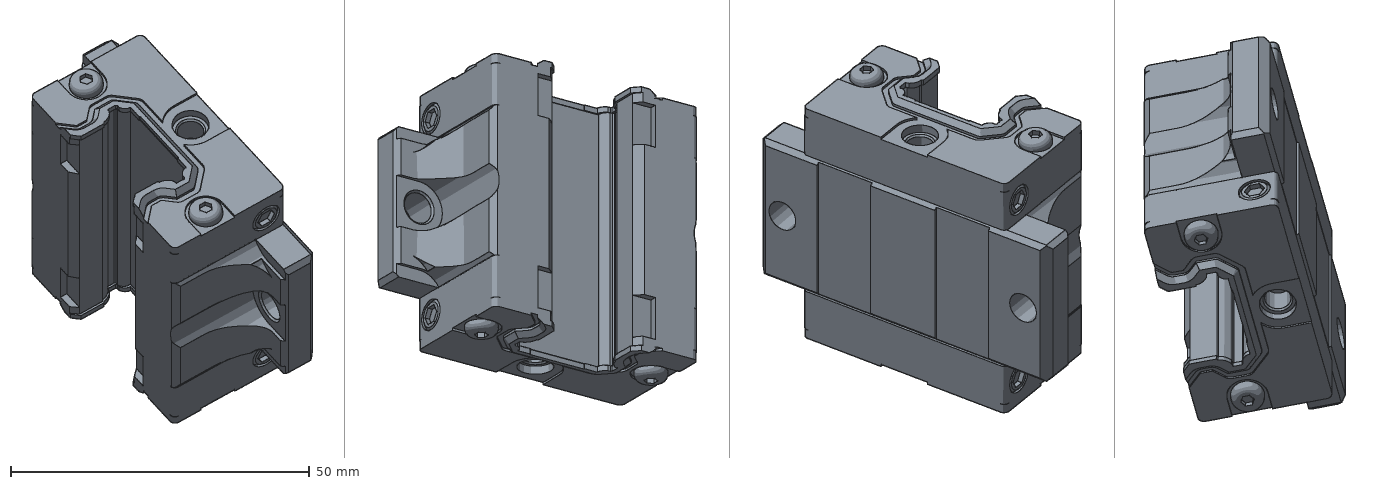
import cadquery as cq
import math


FLANGE_WIDTH = 59.0
BACK_Y = 23.5
TOTAL_LENGTH = 48.8

BLOCK_HALF_LENGTH = 13.75
BLOCK_HALF_WIDTH = 21.0
UNDERSIDE_Y = 16.4
FLANGE_BACK_CHAMFER = 1.6
FLANGE_FRONT_CHAMFER = 1.0
BLOCK_END_CHAMFER = 0.9
FOOT_CHAMFER_X = 0.95
FOOT_CHAMFER_Y = 1.2
BLOCK_LIP_CHAMFER = 1.55
FILLET_START_X = 26.0
FILLET_END = (23.35, 14.5)
FLANK_START_Y = 5.95
CLEARANCE_Y = 23.05
CENTER_PAD_HALF_WIDTH = 6.55
OUTER_PAD_X = 17.4

BOLT_X = 24.5
SEAT_Y = 17.0
SEAT_RADIUS = 4.7
END_SEAT_Z = 11.45
RELIEF_Z = 9.5
RELIEF_X = 23.1
RELIEF_MIDDLE = (24.55, 10.25)
RELIEF_OVERLAP = 0.2
BOLT_HOLE_DIAMETER = 5.4
BOLT_HOLE_CHAMFER = 0.35

CAP_HALF_WIDTH = 20.65
CAP_END_Z = 23.1
CAP_CORNER_RADIUS = 0.9
COVER_THICKNESS = 1.7
COVER_CORNER_RADIUS = 1.05
CAP_LIP_CHAMFER = 1.2
RETAINER_HALF_WIDTH = 11.85

THROAT_HALF_WIDTH = 8.15
ROOF_Y = 12.0
LIP_HEIGHT = 1.3
LIP_TOP_Y = 6.0
LIP_EDGE_RISE = 0.2
BULGE_STEP = 0.3
GROOVE_DEPTH = 2.1
GROOVE_BOTTOM_Y = 8.4
GROOVE_TOP_Y = 9.9
GROOVE_CHAMFER = 0.25
SEAL_GAP = 0.4
SEAL_ROOF_GAP = 0.3
SEAL_END_Z = 24.15
SEAL_BEVEL = 0.95
SEAL_LIP_CHAMFER = 1.3
SEAL_WAIST_RADIUS = 1.75
SEAL_SHOULDER_RADIUS = 1.05
SEAL_WAIST_X = 9.85
SEAL_SHOULDER_X = 11.8
SEAL_TOP_Y = 13.6
WAIST_MIDDLE_Y = 3.6
WAIST_REACH = 2.05
RECESS_CORNER_RADIUS = 1.5
RECESS_WAIST_X = 10.75
RECESS_SHOULDER_X = 13.0
RECESS_TOP_Y = 14.75
SEAL_NOTCH_HALF_WIDTH = 5.5
SEAL_NOTCH_DEPTH = 0.2
RECESS_DEPTH = 0.4

PORT_Y = 18.35
PORT_SEAT_RADIUS = 4.7
PORT_BORE_DIAMETER = 6.2
PORT_BORE_DEPTH = 1.5
PORT_MOUTH_DIAMETER = 5.0
PORT_DRILL_DIAMETER = 4.4
PORT_DRILL_DEPTH = 4.7

HEAD_X = 17.15
HEAD_Y = 9.15
HEAD_DIAMETER = 5.7
HEAD_EDGE_RADIUS = 1.25
HEAD_SEAT_RADIUS = 3.5
HEAD_HEX_FLATS = 2.0
HEAD_HEX_DEPTH = 0.9

PLUG_Y = 19.1
PLUG_Z = 17.95
PLUG_DIAMETER = 5.5
PLUG_FACE_DIAMETER = 4.4
PLUG_HEX_FLATS = 3.0
PLUG_HEX_DEPTH = 0.9


def mirrored(half_points):
    """Closed outline about X = 0 from points listed for its +X half."""
    return half_points + [(-x, y) for x, y in reversed(half_points)]


def prism(points, z_start, z_end):
    return cq.Workplane("XY").workplane(offset=z_start).polyline(points).close().extrude(z_end - z_start)


def box(x_range, y_range, z_range):
    sizes = [high - low for low, high in (x_range, y_range, z_range)]
    corner = (x_range[0], y_range[0], z_range[0])
    return cq.Workplane("XY").box(*sizes, centered=False).translate(corner)


def both_sides(shape):
    return shape.union(shape.mirror("YZ"))


def both_ends(shape):
    return shape.union(shape.mirror("XY"))


def hexagon(plane, flats, depth, first_corner):
    """Hexagonal prism with its first corner at the given angle in degrees, grown along the plane normal."""
    corner_radius = flats / math.sqrt(3)
    angles = [math.radians(first_corner + 60 * i) for i in range(6)]
    points = [(corner_radius * math.cos(a), corner_radius * math.sin(a)) for a in angles]
    return cq.Workplane(plane).polyline(points).close().extrude(depth)


def channel(throat, roof_y, foot_chamfer, z_start, z_end):
    """Rail opening, with a convex ball-track bulge above and below the clearance groove on each side."""
    step_x = throat + BULGE_STEP
    groove_x = throat + GROOVE_DEPTH
    half = (
        cq.Workplane("XY")
        .workplane(offset=z_start)
        .moveTo(0, 0)
        .lineTo(throat + foot_chamfer, 0)
        .lineTo(throat, LIP_HEIGHT)
        .lineTo(throat, LIP_TOP_Y)
        .lineTo(step_x, LIP_TOP_Y + LIP_EDGE_RISE)
        .threePointArc((throat + 0.65, 7.3), (throat + 1.5, 8.2))
        .lineTo(groove_x, GROOVE_BOTTOM_Y)
        .lineTo(groove_x, GROOVE_TOP_Y)
        .lineTo(groove_x - GROOVE_CHAMFER, GROOVE_TOP_Y + GROOVE_CHAMFER)
        .lineTo(throat + 1.4, GROOVE_TOP_Y + GROOVE_CHAMFER)
        .threePointArc((throat + 0.7, 10.6), (step_x, 11.4))
        .lineTo(step_x, roof_y)
        .lineTo(0, roof_y)
        .close()
        .extrude(z_end - z_start)
    )
    return both_sides(half)


def steel_block():
    half = FLANGE_WIDTH / 2
    right_side = [
        (half, UNDERSIDE_Y + FLANGE_FRONT_CHAMFER),
        (half, BACK_Y - FLANGE_BACK_CHAMFER),
        (half - FLANGE_BACK_CHAMFER, BACK_Y),
        (OUTER_PAD_X, BACK_Y),
        (OUTER_PAD_X, CLEARANCE_Y),
        (CENTER_PAD_HALF_WIDTH, CLEARANCE_Y),
        (CENTER_PAD_HALF_WIDTH, BACK_Y),
        (0, BACK_Y),
    ]
    half_body = (
        cq.Workplane("XY")
        .workplane(offset=-BLOCK_HALF_LENGTH)
        .moveTo(0, 0)
        .lineTo(BLOCK_HALF_WIDTH - FOOT_CHAMFER_X, 0)
        .lineTo(BLOCK_HALF_WIDTH, FOOT_CHAMFER_Y)
        .lineTo(BLOCK_HALF_WIDTH, FLANK_START_Y)
        .tangentArcPoint(FILLET_END, relative=False)
        .tangentArcPoint((FILLET_START_X, UNDERSIDE_Y), relative=False)
        .lineTo(half - FLANGE_FRONT_CHAMFER, UNDERSIDE_Y)
    )
    for point in right_side:
        half_body = half_body.lineTo(*point)
    body = both_sides(half_body.close().extrude(2 * BLOCK_HALF_LENGTH))

    plan = (
        cq.Workplane("XZ")
        .rect(FLANGE_WIDTH, 2 * BLOCK_HALF_LENGTH)
        .extrude(-BACK_Y)
        .edges("|Y")
        .chamfer(BLOCK_END_CHAMFER)
    )
    side = (
        cq.Workplane("XY")
        .box(FLANGE_WIDTH, BACK_Y, 2 * BLOCK_HALF_LENGTH)
        .translate((0, BACK_Y / 2, 0))
        .edges("|X and >Y")
        .chamfer(BLOCK_END_CHAMFER)
    )
    body = body.intersect(plan).intersect(side)
    body = body.cut(both_sides(bolt_seats()))
    ends = (-BLOCK_HALF_LENGTH, BLOCK_HALF_LENGTH)
    return body.cut(channel(THROAT_HALF_WIDTH, ROOF_Y, BLOCK_LIP_CHAMFER, *ends))


def bolt_seats():
    """Clearance for the three bolt positions on the +X flange, with the through hole in the middle one."""
    seats = cq.Workplane("XY")
    end_center_z = END_SEAT_Z + SEAT_RADIUS
    edge = FLANGE_WIDTH / 2
    for z in (-end_center_z, 0, end_center_z):
        round_end = cq.Workplane("XZ").center(BOLT_X, z).circle(SEAT_RADIUS).extrude(-SEAT_Y)
        open_end = box((BOLT_X, edge), (0, SEAT_Y), (z - SEAT_RADIUS, z + SEAT_RADIUS))
        seats = seats.union(round_end).union(open_end)

    relief_top_z = END_SEAT_Z + RELIEF_OVERLAP
    relief = (
        cq.Workplane("XZ")
        .moveTo(RELIEF_X, relief_top_z)
        .threePointArc(RELIEF_MIDDLE, (FILLET_START_X, RELIEF_Z))
        .lineTo(FILLET_START_X, relief_top_z)
        .close()
        .extrude(-UNDERSIDE_Y)
    )
    seats = seats.union(both_ends(relief))

    hole = cq.Workplane("XZ").center(BOLT_X, 0).circle(BOLT_HOLE_DIAMETER / 2).extrude(-BACK_Y)
    mouth = (
        cq.Workplane("XZ", origin=(BOLT_X, SEAT_Y, 0))
        .circle(BOLT_HOLE_DIAMETER / 2 + BOLT_HOLE_CHAMFER)
        .workplane(offset=-BOLT_HOLE_CHAMFER)
        .circle(BOLT_HOLE_DIAMETER / 2)
        .loft()
    )
    return seats.union(hole).union(mouth)


def rounded_plate(z_start, z_end, corner_radius):
    plate = box((-CAP_HALF_WIDTH, CAP_HALF_WIDTH), (0, CLEARANCE_Y), (z_start, z_end))
    plate = plate.edges("|Z").fillet(corner_radius)
    return plate.cut(channel(THROAT_HALF_WIDTH, ROOF_Y, CAP_LIP_CHAMFER, z_start, z_end))


def end_recesses():
    """Shallow recesses in the cap end: around the seal, the grease port and both screw heads."""
    floor_z = CAP_END_Z - RECESS_DEPTH
    z_range = (floor_z, CAP_END_Z)
    floor = cq.Workplane("XY").workplane(offset=floor_z)
    port_round = floor.center(0, PORT_Y).circle(PORT_SEAT_RADIUS).extrude(RECESS_DEPTH)
    port_open = box((-PORT_SEAT_RADIUS, PORT_SEAT_RADIUS), (PORT_Y, BACK_Y), z_range)
    head_round = floor.center(HEAD_X, HEAD_Y).circle(HEAD_SEAT_RADIUS).extrude(RECESS_DEPTH)
    head_y_range = (HEAD_Y - HEAD_SEAT_RADIUS, HEAD_Y + HEAD_SEAT_RADIUS)
    head_open = box((HEAD_X, CAP_HALF_WIDTH), head_y_range, z_range)
    seal_recess = prism(
        mirrored([
            (RECESS_WAIST_X + 2.55, 0),
            (RECESS_WAIST_X, 2.55),
            (RECESS_WAIST_X, 4.6),
            (RECESS_SHOULDER_X, 6.85),
            (RECESS_SHOULDER_X, 10.85),
            (9.1, RECESS_TOP_Y),
        ]),
        *z_range,
    )
    shoulder = cq.selectors.BoxSelector(
        (-CAP_HALF_WIDTH, WAIST_MIDDLE_Y + WAIST_REACH, floor_z),
        (CAP_HALF_WIDTH, BACK_Y, CAP_END_Z),
    )
    seal_recess = seal_recess.edges("|Z").edges(shoulder).fillet(RECESS_CORNER_RADIUS)
    recesses = seal_recess.union(port_round).union(port_open)
    return recesses.union(both_sides(head_round.union(head_open)))


def end_seal():
    """Raised seal around the rail opening, with a lip that overhangs the channel."""
    floor_z = CAP_END_Z - RECESS_DEPTH
    outline = mirrored([
        (SEAL_WAIST_X + 4.3, -2.1),
        (SEAL_WAIST_X, 2.2),
        (SEAL_WAIST_X, 5.1),
        (SEAL_SHOULDER_X, 7.0),
        (SEAL_SHOULDER_X, 10.6),
        (8.8, SEAL_TOP_Y),
    ])
    seal = prism(outline, floor_z, SEAL_END_Z)
    waist = cq.selectors.BoxSelector(
        (-CAP_HALF_WIDTH, WAIST_MIDDLE_Y - WAIST_REACH, floor_z),
        (CAP_HALF_WIDTH, WAIST_MIDDLE_Y + WAIST_REACH, SEAL_END_Z),
    )
    shoulder = cq.selectors.BoxSelector(
        (-CAP_HALF_WIDTH, HEAD_Y, floor_z),
        (CAP_HALF_WIDTH, BACK_Y, SEAL_END_Z),
    )
    seal = seal.edges("|Z").edges(waist).fillet(SEAL_WAIST_RADIUS)
    seal = seal.edges("|Z").edges(shoulder).fillet(SEAL_SHOULDER_RADIUS)
    seal = seal.faces(">Z").edges().chamfer(SEAL_BEVEL)
    below_foot = box((-CAP_HALF_WIDTH, CAP_HALF_WIDTH), (-CAP_HALF_WIDTH, 0), (floor_z, SEAL_END_Z))
    seal = seal.cut(below_foot)

    lip_throat = THROAT_HALF_WIDTH - SEAL_GAP
    lip_roof_y = ROOF_Y - SEAL_ROOF_GAP
    notch = box(
        (-SEAL_NOTCH_HALF_WIDTH, SEAL_NOTCH_HALF_WIDTH),
        (0, lip_roof_y + SEAL_NOTCH_DEPTH),
        (CAP_END_Z, SEAL_END_Z),
    )
    seal = seal.cut(channel(THROAT_HALF_WIDTH, ROOF_Y, CAP_LIP_CHAMFER, floor_z, CAP_END_Z))
    seal = seal.cut(channel(lip_throat, lip_roof_y, SEAL_LIP_CHAMFER, CAP_END_Z, SEAL_END_Z))
    return seal.cut(notch)


def grease_port():
    """Stepped blind hole for a grease fitting, cut down from the recessed end face."""
    bore_floor_z = CAP_END_Z - RECESS_DEPTH - PORT_BORE_DEPTH
    mouth_depth = (PORT_MOUTH_DIAMETER - PORT_DRILL_DIAMETER) / 2
    bore = (
        cq.Workplane("XY", origin=(0, PORT_Y, bore_floor_z))
        .circle(PORT_BORE_DIAMETER / 2)
        .extrude(PORT_BORE_DEPTH)
    )
    mouth = (
        cq.Workplane("XY", origin=(0, PORT_Y, bore_floor_z))
        .circle(PORT_MOUTH_DIAMETER / 2)
        .workplane(offset=-mouth_depth)
        .circle(PORT_DRILL_DIAMETER / 2)
        .loft()
    )
    drill = (
        cq.Workplane("XY", origin=(0, PORT_Y, bore_floor_z))
        .circle(PORT_DRILL_DIAMETER / 2)
        .extrude(-PORT_DRILL_DEPTH)
    )
    return bore.union(mouth).union(drill)


def button_head():
    """Domed screw head standing on the floor of its recess, with a hexagon socket."""
    floor_z = CAP_END_Z - RECESS_DEPTH
    top_z = TOTAL_LENGTH / 2
    head = (
        cq.Workplane("XY")
        .workplane(offset=floor_z)
        .circle(HEAD_DIAMETER / 2)
        .extrude(top_z - floor_z)
        .faces(">Z")
        .edges()
        .fillet(HEAD_EDGE_RADIUS)
    )
    socket = hexagon("XY", HEAD_HEX_FLATS, -HEAD_HEX_DEPTH, 90).translate((0, 0, top_z))
    return head.cut(socket).translate((HEAD_X, HEAD_Y, 0))


def set_screw_cut():
    """Bevel groove around a flush set screw and its hexagon socket, on the +X side of the cap."""
    bevel = (PLUG_DIAMETER - PLUG_FACE_DIAMETER) / 2
    face = cq.Workplane("YZ", origin=(CAP_HALF_WIDTH - bevel, PLUG_Y, PLUG_Z))
    hole = face.circle(PLUG_DIAMETER / 2).extrude(bevel)
    plug = (
        face.circle(PLUG_DIAMETER / 2)
        .workplane(offset=bevel)
        .circle(PLUG_FACE_DIAMETER / 2)
        .loft()
    )
    socket = hexagon("YZ", PLUG_HEX_FLATS, -PLUG_HEX_DEPTH, 0)
    socket = socket.translate((CAP_HALF_WIDTH, PLUG_Y, PLUG_Z))
    return hole.cut(plug).union(socket)


def end_cap():
    """End cap on the +Z end of the block, complete with cover plate, seal and screws."""
    cover_z = CAP_END_Z - COVER_THICKNESS
    cap = rounded_plate(BLOCK_HALF_LENGTH, cover_z, CAP_CORNER_RADIUS)
    cap = cap.union(rounded_plate(cover_z, CAP_END_Z, COVER_CORNER_RADIUS))
    retainer_pocket = box(
        (-RETAINER_HALF_WIDTH, RETAINER_HALF_WIDTH),
        (0, LIP_HEIGHT),
        (BLOCK_HALF_LENGTH, cover_z),
    )
    cap = cap.cut(retainer_pocket).cut(end_recesses()).cut(grease_port())
    cap = cap.cut(both_sides(set_screw_cut()))
    return cap.union(end_seal()).union(both_sides(button_head()))


result = steel_block().union(both_ends(end_cap()))